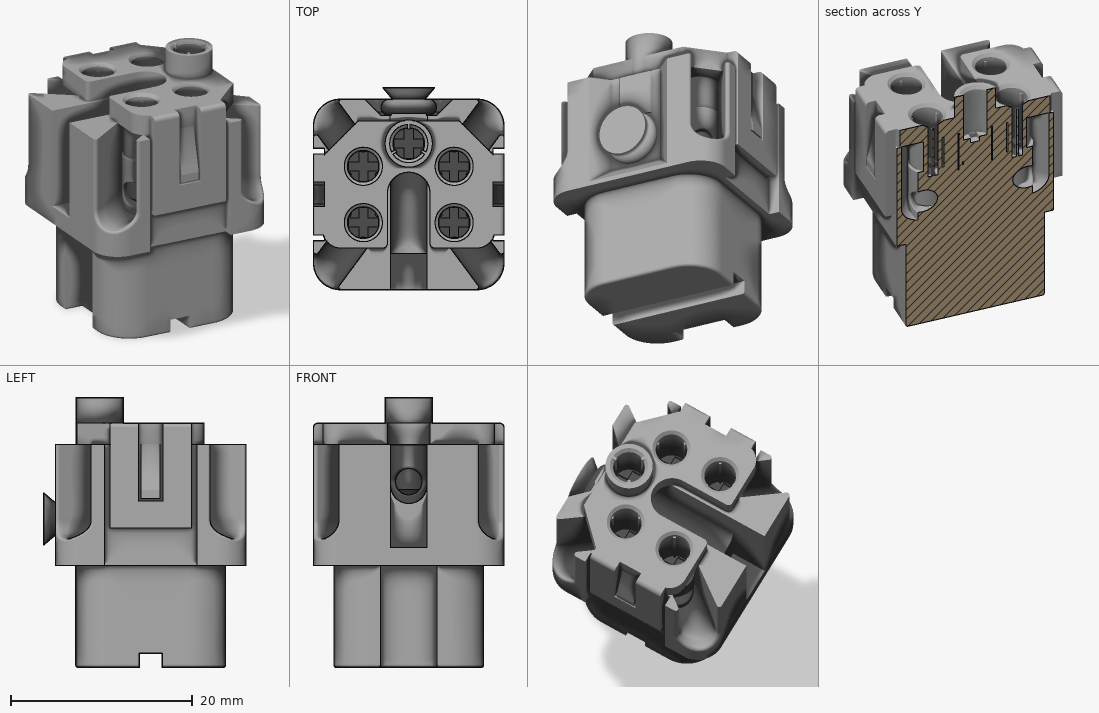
import cadquery as cq

FLANGE_SIZE = 21.0
FLANGE_TOP = 13.35
FLANGE_CORNER_RADIUS = 3.0
FLANGE_HALF = FLANGE_SIZE / 2

INSERT_SIZE = 16.5
INSERT_DEPTH = 11.2
INSERT_CORNER_RADIUS = 4.0
INSERT_EDGE_RADIUS = 0.3
KEYWAY_WIDTH = 6.2
KEYWAY_DEPTH = 2.1
BASE_SLOT_WIDTH = 2.5
BASE_SLOT_DEPTH = 1.55

PLATE_TOP = 15.7
PLATE_HALF_WIDTH = 9.5
PLATE_BACK = 8.1
PLATE_FRONT = -5.9
PLATE_CHAMFER = 3.93
PLATE_CORNER_RADIUS = 2.0
PLATE_SLOT_DIAMETER = 4.7
PLATE_SLOT_CENTRE_Y = 0.1
PLATE_SLOT_LIP_RADIUS = 0.5

SIDE_RECESS_WIDTH = 10.16
SIDE_RECESS_DEPTH = 1.2
SIDE_RECESS_INNER = FLANGE_HALF - SIDE_RECESS_DEPTH
PANEL_WIDTH = 8.95
PANEL_BOTTOM = 4.15
PANEL_EDGE_RADIUS = 0.5
LATCH_SLOT_WIDTH = 2.7
LATCH_SLOT_BOTTOM = 7.15
LATCH_WIDTH = 2.1
LATCH_BOTTOM = 7.4
LATCH_NOSE = 8.3

CONTACT_X = 5.0
CONTACT_Y = 3.1
EARTH_Y = 5.6
EARTH_TUBE_TOP = 18.5
EARTH_TUBE_DIAMETER = 5.2
COLUMN_OFFSET = 0.45
BORE_DIAMETER = 3.5
BORE_MOUTH_DIAMETER = 4.2
SCREW_DIAMETER = 3.3
SCREW_LENGTH = 4.0
SCREW_CROSS_WIDTH = 1.0
SCREW_CROSS_DEPTH = 0.6
RIB_WIDTH = 0.3
RIB_INNER_RADIUS = 1.6
RIB_COUNT = 3
CONTACT_RIB_TOP = 14.9
CONTACT_RIB_ANGLE = 90
EARTH_RIB_ANGLE = 90
EARTH_WIRE_HOLE_DIAMETER = 2.9
EARTH_WIRE_HOLE_EDGE_RADIUS = 0.25
CORNER_WIRE_HOLE_DIAMETER = 2.8
CORNER_WIRE_HOLE_EDGE_RADIUS = 0.12

GROOVE_WIDTH = 4.0
CORNER_GROOVE_Z = 4.95
EARTH_GROOVE_Z = 8.85
CORNER_GROOVE_ANGLE = 36.5
GROOVE_EDGE_RADIUS = 0.3
WIRE_HOLE_RISE = 0.4
SCREW_TIP_DROP = 0.45
NECK_RISE = 4.45
EARTH_SLOT_FLOOR = 2.0
EARTH_SLOT_BACK = -6.5

REAR_RECESS_MOUTH_HALF = 4.86
REAR_RECESS_BACK = 8.7
REAR_RECESS_FLOOR = 1.9
REAR_LEDGE_DEPTH = 0.4
EARTH_SCREW_Z = 5.15
EARTH_SCREW_END = 11.8
EARTH_SCREW_HEAD_DIAMETER = 5.7
EARTH_SCREW_RIM = 0.06
EARTH_SCREW_CONE_LENGTH = 1.5
EARTH_SCREW_SHANK_DIAMETER = 3.2
RING_CENTRE_RADIUS = 2.15
RING_THICKNESS = 1.8
TAB_WIDTH = 4.1
TAB_REACH = 0.2
TAB_SINK = 0.1

OVERRUN = 1.0


def box(x_range, y_range, z_range):
    """Axis-aligned box between pairs of limits."""
    sizes = [high - low for low, high in (x_range, y_range, z_range)]
    return cq.Workplane("XY").box(*sizes, centered=False).translate((x_range[0], y_range[0], z_range[0]))


def cylinder(diameter, z_low, z_high):
    return cq.Workplane("XY").workplane(offset=z_low).circle(diameter / 2).extrude(z_high - z_low)


def both_sides(shape):
    """The shape joined with its mirror image across the YZ plane."""
    return shape.union(shape.mirror("YZ"))


def make_insert():
    half = INSERT_SIZE / 2
    insert = box((-half, half), (-half, half), (-INSERT_DEPTH, 0)).edges("|Z").fillet(INSERT_CORNER_RADIUS)
    keyway_half = KEYWAY_WIDTH / 2
    keyway = box((-keyway_half, keyway_half), (-half - OVERRUN, KEYWAY_DEPTH - half), (-INSERT_DEPTH, 0))
    insert = insert.cut(keyway).faces("<Z").edges().fillet(INSERT_EDGE_RADIUS)
    slot_half = BASE_SLOT_WIDTH / 2
    base_slot = box((-half, half), (-slot_half, slot_half), (-INSERT_DEPTH, BASE_SLOT_DEPTH - INSERT_DEPTH))
    return insert.cut(base_slot)


def place_at_corner(shape, side, end):
    """Turn a shape that runs along -Y from the origin so it runs from a contact to its corner."""
    turn = CORNER_GROOVE_ANGLE if end > 0 else 180 - CORNER_GROOVE_ANGLE
    outward = shape.rotate((0, 0, 0), (0, 0, 1), 180 - side * turn)
    return outward.translate((side * CONTACT_X, end * CONTACT_Y, 0))


def groove(axis_z, length):
    """Round-bottomed wire groove, open at the top, running along -Y from the origin."""
    half = GROOVE_WIDTH / 2
    return (
        cq.Workplane("XZ").moveTo(-half, FLANGE_TOP).lineTo(-half, axis_z)
        .threePointArc((0, axis_z - half), (half, axis_z)).lineTo(half, FLANGE_TOP)
        .close().extrude(length)
    )


def round_groove_mouths(flange):
    """Round the edges where the corner grooves break out through the flange sides."""
    mouth_start = FLANGE_HALF - FLANGE_CORNER_RADIUS - GROOVE_WIDTH / 2
    groove_bottom = CORNER_GROOVE_Z - GROOVE_WIDTH / 2
    mouth_edges = []
    for edge in flange.edges().vals():
        centre = edge.Center()
        near_corner = min(abs(centre.x), abs(centre.y)) > mouth_start
        if near_corner and groove_bottom < centre.z < FLANGE_TOP - GROOVE_EDGE_RADIUS:
            mouth_edges.append(edge)
    return flange.newObject(mouth_edges).fillet(GROOVE_EDGE_RADIUS)


def make_flange():
    flange = box((-FLANGE_HALF, FLANGE_HALF), (-FLANGE_HALF, FLANGE_HALF), (0, FLANGE_TOP))
    flange = flange.edges("|Z").fillet(FLANGE_CORNER_RADIUS)
    corner_groove = groove(CORNER_GROOVE_Z, FLANGE_SIZE)
    for side in (-1, 1):
        for end in (-1, 1):
            flange = flange.cut(place_at_corner(corner_groove, side, end))
    flange = round_groove_mouths(flange)
    recess_half = SIDE_RECESS_WIDTH / 2
    recess = box((SIDE_RECESS_INNER, FLANGE_HALF), (-recess_half, recess_half), (0, FLANGE_TOP))
    return flange.cut(both_sides(recess))


def cut_earth_groove(flange):
    flange = flange.cut(groove(EARTH_GROOVE_Z, FLANGE_SIZE).translate((0, EARTH_Y, 0)))
    half = GROOVE_WIDTH / 2
    deep_slot = box((-half, half), (-FLANGE_HALF, EARTH_SLOT_BACK), (EARTH_SLOT_FLOOR, FLANGE_TOP))
    return flange.cut(deep_slot)


def make_plate():
    width = PLATE_HALF_WIDTH
    plate = box((-width, width), (PLATE_FRONT, PLATE_BACK), (FLANGE_TOP, PLATE_TOP))
    plate = plate.edges("|Z and >Y").chamfer(PLATE_CHAMFER)
    plate = plate.edges("|Z and <Y").fillet(PLATE_CORNER_RADIUS)
    half = PLATE_SLOT_DIAMETER / 2
    slot = box((-half, half), (PLATE_FRONT, PLATE_SLOT_CENTRE_Y), (FLANGE_TOP, PLATE_TOP))
    slot_end = cylinder(PLATE_SLOT_DIAMETER, FLANGE_TOP, PLATE_TOP).translate((0, PLATE_SLOT_CENTRE_Y, 0))
    plate = plate.cut(slot.union(slot_end))
    lip = cq.selectors.BoxSelector(
        (-half - OVERRUN, PLATE_FRONT - OVERRUN, FLANGE_TOP),
        (half + OVERRUN, PLATE_FRONT + OVERRUN, PLATE_TOP),
    )
    return plate.edges("|Z").edges(lip).fillet(PLATE_SLOT_LIP_RADIUS)


def make_panel():
    """Latch panel on the +X side, with a rounded top edge."""
    panel_half = PANEL_WIDTH / 2
    panel = box((SIDE_RECESS_INNER, FLANGE_HALF), (-panel_half, panel_half), (PANEL_BOTTOM, PLATE_TOP))
    return panel.edges(">X and >Z").fillet(PANEL_EDGE_RADIUS)


def make_latch_slot():
    """Slot through the panel, open at the top, that leaves room for the latch."""
    slot_half = LATCH_SLOT_WIDTH / 2
    return box((SIDE_RECESS_INNER, FLANGE_HALF), (-slot_half, slot_half), (LATCH_SLOT_BOTTOM, PLATE_TOP))


def make_latch():
    """Wedge that widens downward from the flange top to its nose."""
    return (
        cq.Workplane("XZ")
        .polyline([
            (SIDE_RECESS_INNER, LATCH_BOTTOM), (FLANGE_HALF, LATCH_BOTTOM),
            (FLANGE_HALF, LATCH_NOSE), (SIDE_RECESS_INNER, FLANGE_TOP),
        ])
        .close().extrude(LATCH_WIDTH / 2, both=True)
    )


def make_screw_envelope(axis_z):
    """Clamping screw whose lower end is a cone."""
    tip_z = axis_z - SCREW_TIP_DROP
    head_z = tip_z + SCREW_LENGTH
    radius = SCREW_DIAMETER / 2
    return (
        cq.Workplane("XZ")
        .polyline([(0, tip_z - radius), (radius, tip_z), (radius, head_z), (0, head_z)])
        .close().revolve(360, (0, 0, 0), (0, 1, 0))
    )


def make_column(axis_z, hole_diameter, hole_edge_radius):
    """Rounded end wall of a groove: stepped outward below the neck, with the wire hole up to the screw."""
    neck_z = axis_z + NECK_RISE
    hole_z = axis_z + WIRE_HOLE_RISE
    half = GROOVE_WIDTH / 2
    neck = cylinder(GROOVE_WIDTH, 0, FLANGE_TOP)
    step = cylinder(GROOVE_WIDTH, 0, neck_z).translate((0, -COLUMN_OFFSET, 0))
    bridge = box((-half, half), (-COLUMN_OFFSET, 0), (0, neck_z))
    hole_radius = hole_diameter / 2
    hole = cq.Workplane("XZ", origin=(0, 0, hole_z)).circle(hole_radius).extrude(half + COLUMN_OFFSET)
    column = neck.union(step).union(bridge).cut(hole.cut(make_screw_envelope(axis_z)))
    hole_mouth = cq.selectors.BoxSelector(
        (-hole_radius, -GROOVE_WIDTH, hole_z - hole_radius),
        (hole_radius, -SCREW_DIAMETER / 2, hole_z + hole_radius),
    )
    return column.edges(hole_mouth).fillet(hole_edge_radius)


def make_bore(axis_z, top, rib_top, first_rib_angle):
    """Screwdriver bore down to the screw head, with guide ribs and the cross slot of the screw."""
    floor = axis_z - SCREW_TIP_DROP + SCREW_LENGTH
    depth = (BORE_MOUTH_DIAMETER - BORE_DIAMETER) / 2
    mouth = cq.Workplane(cq.Solid.makeCone(
        BORE_DIAMETER / 2, BORE_MOUTH_DIAMETER / 2, depth, cq.Vector(0, 0, top - depth), cq.Vector(0, 0, 1)
    ))
    bore = cylinder(BORE_DIAMETER, floor, top).union(mouth)
    rib_half = RIB_WIDTH / 2
    rib_reach = (RIB_INNER_RADIUS, BORE_MOUTH_DIAMETER / 2 + OVERRUN)
    rib = box(rib_reach, (-rib_half, rib_half), (floor, rib_top))
    for index in range(RIB_COUNT):
        angle = first_rib_angle + index * 360 / RIB_COUNT
        bore = bore.cut(rib.rotate((0, 0, 0), (0, 0, 1), angle))
    reach = SCREW_DIAMETER / 2
    half = SCREW_CROSS_WIDTH / 2
    arm = box((-reach, reach), (-half, half), (floor - SCREW_CROSS_DEPTH, floor))
    return bore.union(arm).union(arm.rotate((0, 0, 0), (0, 0, 1), 90))


def make_rear_recess():
    back_half = REAR_RECESS_MOUTH_HALF - (FLANGE_HALF - REAR_RECESS_BACK)
    outline = (
        cq.Workplane("XY")
        .polyline([
            (-back_half, REAR_RECESS_BACK), (back_half, REAR_RECESS_BACK),
            (REAR_RECESS_MOUTH_HALF, FLANGE_HALF), (-REAR_RECESS_MOUTH_HALF, FLANGE_HALF),
        ])
        .close().extrude(FLANGE_TOP)
    )
    ledge_y = REAR_RECESS_BACK + REAR_LEDGE_DEPTH
    slope_drop = FLANGE_HALF - ledge_y
    profile = (
        cq.Workplane("YZ")
        .polyline([
            (REAR_RECESS_BACK, FLANGE_TOP), (REAR_RECESS_BACK, REAR_RECESS_FLOOR),
            (ledge_y, REAR_RECESS_FLOOR),
            (FLANGE_HALF, REAR_RECESS_FLOOR - slope_drop), (FLANGE_HALF, FLANGE_TOP),
        ])
        .close().extrude(FLANGE_HALF, both=True)
    )
    return outline.intersect(profile)


def make_earth_screw():
    """Countersunk screw and sealing ring, revolved about a line parallel to Y."""
    head = EARTH_SCREW_HEAD_DIAMETER / 2
    shank = EARTH_SCREW_SHANK_DIAMETER / 2
    root_y = REAR_RECESS_BACK - OVERRUN
    rim_y = EARTH_SCREW_END - EARTH_SCREW_RIM
    screw = (
        cq.Workplane("XY")
        .polyline([
            (0, root_y), (shank, root_y), (shank, rim_y - EARTH_SCREW_CONE_LENGTH),
            (head, rim_y), (head, EARTH_SCREW_END), (0, EARTH_SCREW_END),
        ])
        .close().revolve(360, (0, 0, 0), (0, 1, 0))
    )
    ring = (
        cq.Workplane("XY").center(RING_CENTRE_RADIUS, REAR_RECESS_BACK + RING_THICKNESS / 2)
        .circle(RING_THICKNESS / 2).revolve(360, (-RING_CENTRE_RADIUS, 0, 0), (-RING_CENTRE_RADIUS, 1, 0))
    )
    return screw.union(ring).translate((0, 0, EARTH_SCREW_Z))


def make_tab_space():
    """Shallow seat in the flange top, where the tab lies below the surface."""
    half = TAB_WIDTH / 2
    return box((-half, half), (PLATE_BACK, REAR_RECESS_BACK), (FLANGE_TOP - TAB_SINK, FLANGE_TOP))


def make_tab():
    """Tab reaching into the rear recess above the sealing ring."""
    half = TAB_WIDTH / 2
    bottom = EARTH_SCREW_Z + RING_CENTRE_RADIUS + RING_THICKNESS / 2
    tab = box((-half, half), (PLATE_BACK, REAR_RECESS_BACK + TAB_REACH), (bottom, FLANGE_TOP - TAB_SINK))
    return tab.edges("|Z and >Y").chamfer(TAB_REACH)


body = cut_earth_groove(make_flange())
body = body.cut(make_rear_recess()).cut(make_tab_space())
body = body.union(make_insert()).union(make_plate())
body = body.union(both_sides(make_panel()))
body = body.cut(both_sides(make_latch_slot())).union(both_sides(make_latch()))
body = body.union(make_earth_screw()).union(make_tab())

corner_column = make_column(CORNER_GROOVE_Z, CORNER_WIRE_HOLE_DIAMETER, CORNER_WIRE_HOLE_EDGE_RADIUS)
for side in (-1, 1):
    for end in (-1, 1):
        position = (side * CONTACT_X, end * CONTACT_Y, 0)
        body = body.union(place_at_corner(corner_column, side, end))
        bore = make_bore(CORNER_GROOVE_Z, PLATE_TOP, CONTACT_RIB_TOP, end * CONTACT_RIB_ANGLE)
        body = body.cut(bore.translate(position))

earth_position = (0, EARTH_Y, 0)
earth_tube = cylinder(EARTH_TUBE_DIAMETER, FLANGE_TOP, EARTH_TUBE_TOP)
earth_bore = make_bore(EARTH_GROOVE_Z, EARTH_TUBE_TOP, EARTH_TUBE_TOP, EARTH_RIB_ANGLE)
earth_column = make_column(EARTH_GROOVE_Z, EARTH_WIRE_HOLE_DIAMETER, EARTH_WIRE_HOLE_EDGE_RADIUS)
body = body.union(earth_column.union(earth_tube).translate(earth_position))
body = body.cut(earth_bore.translate(earth_position))

result = body